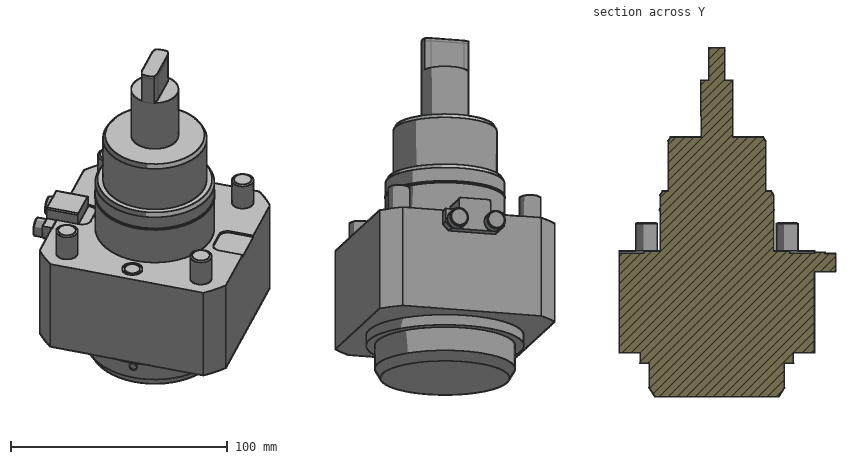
import cadquery as cq
import math

TOTAL_HEIGHT = 161.0
NOSE_TAPER_TOP = 4.3
FLANGE_BOTTOM = 15.5
BLOCK_BOTTOM = 20.3
BLOCK_TOP = 67.3
COLLAR_TOP = 95.0
NECK_TOP = 120.0
TANG_BOTTOM = 146.0

NOSE_TIP_RADIUS = 29.8
NOSE_RADIUS = 32.4
FLANGE_RADIUS = 36.4
COLLAR_RADIUS = 27.5
NECK_RADIUS = 24.0
SHAFT_RADIUS = 11.0
SHOULDER_CHAMFER_HEIGHT = 2.0
SHOULDER_CHAMFER_WIDTH = 1.1

SEAL_Z = 86.3
SEAL_WIDTH = 1.0
SEAL_RISE = 0.24

BLOCK_X = 90.2
BLOCK_Y = 84.0
BLOCK_CORNER_RADIUS = 56.0

TANG_THICKNESS = 7.7
TANG_FLAT_WIDTH = 16.0
TANG_END_THICKNESS = 6.1
TANG_LEAD_HEIGHT = 1.3
TANG_LEAD_ANGLE = 5.0

POST_SPACING_X = 64.9
POST_SPACING_Y = 63.0
POST_RADIUS = 5.0
POST_HEIGHT = 13.0
POST_CHAMFER_HEIGHT = 0.5
POST_CHAMFER_WIDTH = 1.0

DOWEL_Y = -34.0
DOWEL_RADIUS = 4.7
DOWEL_CHAMFER_HEIGHT = 0.5
DOWEL_CHAMFER_WIDTH = 1.1

KEYWAY_WIDTH = 16.1
KEYWAY_DEPTH = 1.0
KEYWAY_CORNER_RADIUS = 4.2
KEYWAY_INNER_X = 29.8

KEY_WIDTH = 15.1
KEY_INNER_X = -34.8
KEY_HEIGHT = 5.3
KEY_CHAMFER = 0.6
FOOT_WIDTH = 28.0
FOOT_TOP_DROP = 0.5
FOOT_BOTTOM_DROP = 9.7
FOOT_THICKNESS = 4.8
FOOT_CHAMFER = 2.9

SCREW_SPACING = 17.7
SCREW_DROP = 5.3
SCREW_RADIUS = 4.3
SCREW_HEAD_HEIGHT = 5.0
SCREW_CHAMFER = 0.5

SET_SCREW_Z = 10.8
SET_SCREW_RADIUS = 1.8
SET_SCREW_PROUD = 0.5


def turned_body():
    """Nose, flange, collar, neck and shaft revolved about the Z axis."""
    return (
        cq.Workplane("XZ")
        .lineTo(NOSE_TIP_RADIUS, 0)
        .lineTo(NOSE_RADIUS, NOSE_TAPER_TOP)
        .lineTo(NOSE_RADIUS, FLANGE_BOTTOM)
        .lineTo(FLANGE_RADIUS, FLANGE_BOTTOM)
        .lineTo(FLANGE_RADIUS, BLOCK_BOTTOM)
        .lineTo(COLLAR_RADIUS, BLOCK_BOTTOM)
        .lineTo(COLLAR_RADIUS, SEAL_Z - SEAL_WIDTH / 2)
        .lineTo(COLLAR_RADIUS + SEAL_RISE, SEAL_Z)
        .lineTo(COLLAR_RADIUS, SEAL_Z + SEAL_WIDTH / 2)
        .lineTo(COLLAR_RADIUS, COLLAR_TOP - SHOULDER_CHAMFER_HEIGHT)
        .lineTo(COLLAR_RADIUS - SHOULDER_CHAMFER_WIDTH, COLLAR_TOP)
        .lineTo(NECK_RADIUS, COLLAR_TOP)
        .lineTo(NECK_RADIUS, NECK_TOP - SHOULDER_CHAMFER_HEIGHT)
        .lineTo(NECK_RADIUS - SHOULDER_CHAMFER_WIDTH, NECK_TOP)
        .lineTo(SHAFT_RADIUS, NECK_TOP)
        .lineTo(SHAFT_RADIUS, TANG_BOTTOM)
        .lineTo(0, TANG_BOTTOM)
        .close()
        .revolve(360, (0, 0, 0), (0, 1, 0))
    )


def tang():
    """Flat tang with bevelled corners, round ends and a tapered lead-in."""
    half_thick = TANG_THICKNESS / 2
    half_flat = TANG_FLAT_WIDTH / 2
    half_end = TANG_END_THICKNESS / 2
    round_end_y = math.sqrt(SHAFT_RADIUS**2 - half_end**2)
    straight_height = TOTAL_HEIGHT - TANG_BOTTOM - TANG_LEAD_HEIGHT
    return (
        cq.Workplane("XY", origin=(0, 0, TANG_BOTTOM))
        .moveTo(half_thick, -half_flat)
        .lineTo(half_thick, half_flat)
        .lineTo(half_end, round_end_y)
        .threePointArc((0, SHAFT_RADIUS), (-half_end, round_end_y))
        .lineTo(-half_thick, half_flat)
        .lineTo(-half_thick, -half_flat)
        .lineTo(-half_end, -round_end_y)
        .threePointArc((0, -SHAFT_RADIUS), (half_end, -round_end_y))
        .close()
        .extrude(straight_height)
        .faces(">Z")
        .wires()
        .toPending()
        .extrude(TANG_LEAD_HEIGHT, taper=TANG_LEAD_ANGLE)
    )


def block():
    """Rectangular housing block with rounded-off vertical corners."""
    height = BLOCK_TOP - BLOCK_BOTTOM
    base = cq.Workplane("XY", origin=(0, 0, BLOCK_BOTTOM))
    turned_blank = base.circle(BLOCK_CORNER_RADIUS).extrude(height)
    return base.rect(BLOCK_X, BLOCK_Y).extrude(height).intersect(turned_blank)


def keyway(side):
    """Cutter for one shallow keyway; side is -1 for -X and +1 for +X."""
    length = BLOCK_X / 2 - KEYWAY_INNER_X
    center_x = side * (KEYWAY_INNER_X + length / 2)
    inner_edges = "|Z and <X" if side > 0 else "|Z and >X"
    return (
        cq.Workplane("XY", origin=(center_x, 0, BLOCK_TOP - KEYWAY_DEPTH))
        .rect(length, KEYWAY_WIDTH)
        .extrude(KEYWAY_DEPTH)
        .edges(inner_edges)
        .fillet(KEYWAY_CORNER_RADIUS)
    )


def dowel_groove():
    """Cutter that leaves a flush dowel with a chamfered rim."""
    return (
        cq.Workplane("XZ", origin=(0, DOWEL_Y, BLOCK_TOP))
        .moveTo(DOWEL_RADIUS, 0)
        .lineTo(DOWEL_RADIUS, -DOWEL_CHAMFER_HEIGHT)
        .lineTo(DOWEL_RADIUS - DOWEL_CHAMFER_WIDTH, 0)
        .close()
        .revolve(360, (0, 0, 0), (0, 1, 0))
    )


def posts():
    """Four chamfered posts standing on the block."""
    profile = (
        cq.Workplane("XZ")
        .lineTo(POST_RADIUS, 0)
        .lineTo(POST_RADIUS, POST_HEIGHT - POST_CHAMFER_HEIGHT)
        .lineTo(POST_RADIUS - POST_CHAMFER_WIDTH, POST_HEIGHT)
        .lineTo(0, POST_HEIGHT)
        .close()
    )
    post = profile.revolve(360, (0, 0, 0), (0, 1, 0)).val()
    return (
        cq.Workplane("XY", origin=(0, 0, BLOCK_TOP))
        .rect(POST_SPACING_X, POST_SPACING_Y, forConstruction=True)
        .vertices()
        .eachpoint(lambda place: post.moved(place))
    )


def key():
    """Key lying in the -X keyway, with its foot and screw heads."""
    foot_inner_x = -BLOCK_X / 2
    outer_x = foot_inner_x - FOOT_THICKNESS

    bar = (
        cq.Workplane("XY", origin=((outer_x + KEY_INNER_X) / 2, 0, BLOCK_TOP - KEYWAY_DEPTH))
        .rect(KEY_INNER_X - outer_x, KEY_WIDTH)
        .extrude(KEYWAY_DEPTH + KEY_HEIGHT)
        .edges(">Z and |X")
        .chamfer(KEY_CHAMFER)
    )

    foot_center_x = (outer_x + foot_inner_x) / 2
    foot = (
        cq.Workplane("XY", origin=(foot_center_x, 0, BLOCK_TOP - FOOT_BOTTOM_DROP))
        .rect(FOOT_THICKNESS, FOOT_WIDTH)
        .extrude(FOOT_BOTTOM_DROP - FOOT_TOP_DROP)
        .edges("<Z and |X")
        .chamfer(FOOT_CHAMFER)
    )

    screw_heads = (
        cq.Workplane("YZ", origin=(outer_x, 0, BLOCK_TOP - SCREW_DROP))
        .pushPoints([(-SCREW_SPACING / 2, 0), (SCREW_SPACING / 2, 0)])
        .circle(SCREW_RADIUS)
        .extrude(-SCREW_HEAD_HEIGHT)
        .faces("<X")
        .chamfer(SCREW_CHAMFER)
    )
    return bar.union(foot).union(screw_heads)


def set_screw():
    """Set screw standing slightly proud of the nose on the -Y side."""
    return (
        cq.Workplane("XZ", origin=(0, 0, SET_SCREW_Z))
        .circle(SET_SCREW_RADIUS)
        .extrude(NOSE_RADIUS + SET_SCREW_PROUD)
    )


housing = block().cut(keyway(-1)).cut(keyway(1)).cut(dowel_groove())
result = (
    turned_body()
    .union(tang())
    .union(housing)
    .union(posts())
    .union(key())
    .union(set_screw())
)